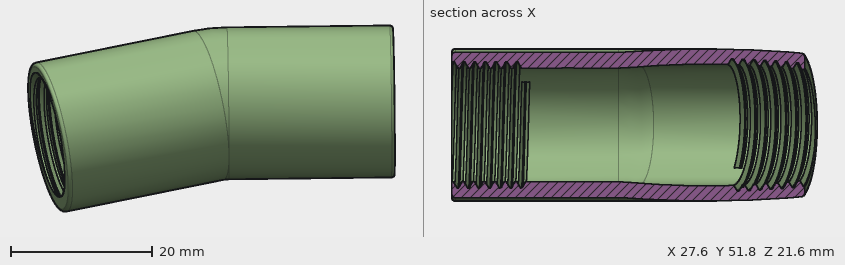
import cadquery as cq
import math

outer_radius = 10.8
leg_length = 23.58
bend_angle = 15.0
rim_fillet = 0.5

minor_radius = 8.59
thread_pitch = 1.5
thread_turns = 7.0
lead_in_turns = 1.0
thread_start_angle = 225.0
flank_angle = math.radians(30.0)
root_width = thread_pitch / 8
mouth_width = thread_pitch * 3 / 4
thread_depth = (mouth_width - root_width) / 2 / math.tan(flank_angle)
groove_overlap = 0.05

bend_axis_x = outer_radius


def straight_leg(radius):
    """Round bar along Y, from the end face at Y = 0 to the start of the bend."""
    return cq.Workplane("XZ").circle(radius).extrude(-leg_length)


def elbow(leg, radius):
    """Whole elbow: the given leg, the bend at the same radius, and the leg repeated beyond it."""
    bend = (
        cq.Workplane("XZ", origin=(0, leg_length, 0))
        .circle(radius)
        .revolve(bend_angle, (bend_axis_x, 1, 0), (bend_axis_x, 0, 0))
    )
    return leg.union(bend).union(to_second_leg(leg))


def to_second_leg(body):
    """Half turn about the line that halves the bend, which carries the first leg onto the second."""
    half_bend = math.radians(bend_angle / 2)
    pivot = (bend_axis_x, leg_length, 0)
    other = (bend_axis_x - math.cos(half_bend), leg_length + math.sin(half_bend), 0)
    return body.rotate(pivot, other, 180)


def thread_groove():
    """Helical groove cutter running from outside the end face into the first leg."""
    inner_half_width = mouth_width / 2 + groove_overlap * math.tan(flank_angle)
    inner_radius = minor_radius - groove_overlap
    root_radius = minor_radius + thread_depth
    path = cq.Wire.makeHelix(thread_pitch, (lead_in_turns + thread_turns) * thread_pitch, minor_radius)
    groove = (
        cq.Workplane("XZ")
        .moveTo(inner_radius, -inner_half_width)
        .lineTo(root_radius, -root_width / 2)
        .lineTo(root_radius, root_width / 2)
        .lineTo(inner_radius, inner_half_width)
        .close()
        .sweep(cq.Workplane(obj=path), isFrenet=True)
    )
    return (
        groove.translate((0, 0, -lead_in_turns * thread_pitch))
        .rotate((0, 0, 0), (0, 0, 1), thread_start_angle)
        .rotate((0, 0, 0), (1, 0, 0), -90)
    )


outer_body = elbow(straight_leg(outer_radius).faces("<Y").edges().fillet(rim_fillet), outer_radius)
bore = elbow(straight_leg(minor_radius), minor_radius)
groove = thread_groove()
result = outer_body.cut(bore).cut(groove).cut(to_second_leg(groove))